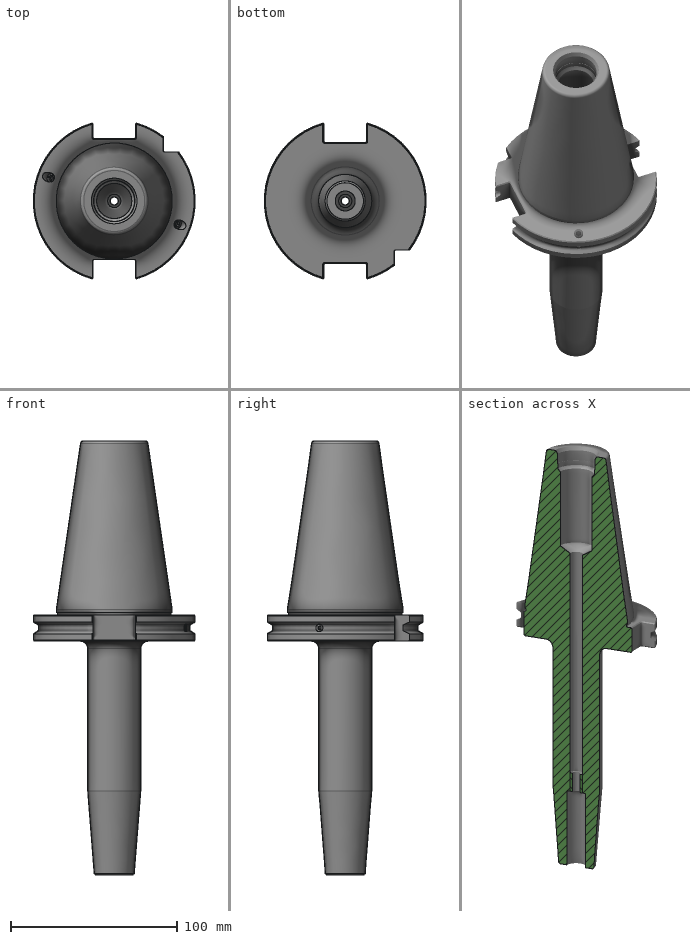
import cadquery as cq
import math

gauge_dia = 69.85
taper_length = 101.6
taper_ratio = 7 / 24
taper_tip_fillet = 2.0
gauge_land = 1.9
neck_dia = 68.5

flange_dia = 97.5
flange_top = -3.2
flange_bottom = -19.1
flange_top_chamfer = 0.6
flange_bottom_chamfer = 0.7
groove_floor_dia = 91.2
groove_centre = -11.1
groove_floor_width = 3.4
groove_half_angle = 30
groove_corner_fillet = 1.0
groove_overrun = 1.0

shank_dia = 32.0
shank_fillet = 4.5
nose_length = 160.0
nose_dia = 24.0
nose_half_angle = 4.5
nose_chamfer = 1.0

slot_width = 25.7
front_slot_floor = 35.3
back_slot_floor = 37.7
slot_corner_fillet = 0.8
slot_edge_chamfer = 0.6
notch_offset = 29.6
notch_fillet = 0.8

mouth_dia = 27.5
mouth_chamfer = 1.3
mouth_half_angle = 30
pilot_depth = 8.5
thread_entry_dia = 24.6
thread_entry_depth = 11.5
thread_bore_dia = 21.2
thread_bore_depth = 60.0
drill_tip_half_angle = 60
passage_dia = 8.0
tool_bore_dia = 12.0
tool_bore_depth = 47.0

stop_screw_length = 12.0
stop_screw_hole_dia = 4.7

plug_angle = 160
plug_count = 2
flange_plug_dia = 5.5
flange_plug_tilt = 40
flange_plug_radius = 42.2
flange_plug_recess = 2.4
flange_plug_length = 4.0
flange_plug_hex = 3.0
flange_plug_hex_depth = 2.0
groove_plug_dia = 4.5
groove_plug_length = 4.0
groove_plug_hex = 2.0
groove_plug_hex_depth = 2.0

gauge_r = gauge_dia / 2
neck_r = neck_dia / 2
tip_r = gauge_r - taper_length * taper_ratio / 2
flange_r = flange_dia / 2
flange_height = flange_top - flange_bottom
groove_floor_r = groove_floor_dia / 2
groove_half_floor = groove_floor_width / 2
groove_depth = flange_r - groove_floor_r
groove_half_mouth = groove_half_floor + groove_depth * math.tan(math.radians(groove_half_angle))
shank_r = shank_dia / 2
nose_r = nose_dia / 2
nose_cone_length = (shank_r - nose_r) / math.tan(math.radians(nose_half_angle))


def polar_plane(angle, radius, z, tilt):
    """Plane whose normal leans outward from +Z by `tilt` at the given polar angle."""
    a = math.radians(angle)
    t = math.radians(tilt)
    return cq.Plane(
        origin=(radius * math.cos(a), radius * math.sin(a), z),
        xDir=(math.cos(t) * math.cos(a), math.cos(t) * math.sin(a), -math.sin(t)),
        normal=(math.sin(t) * math.cos(a), math.sin(t) * math.sin(a), math.cos(t)),
    )


def is_slot_mouth(edge):
    """True for the upright edges where the slot walls meet the flange rim."""
    centre = edge.Center()
    return abs(centre.x) < slot_width and abs(centre.y) > back_slot_floor + slot_corner_fillet


def make_slot(floor, side):
    """Open slot through the flange on the +Y (side = 1) or -Y (side = -1) face."""
    return (
        cq.Workplane("XY").workplane(offset=flange_bottom)
        .center(0, side * (floor + flange_r / 2)).rect(slot_width, flange_r).extrude(flange_height)
        .edges("|Z").fillet(slot_corner_fillet)
    )


def make_notch():
    return (
        cq.Workplane("XY").workplane(offset=flange_bottom)
        .center(notch_offset, notch_offset).rect(flange_r, flange_r, centered=False)
        .extrude(flange_height).edges("|Z").fillet(notch_fillet)
    )


def make_flange():
    body = cq.Workplane("XY").workplane(offset=flange_bottom).circle(flange_r).extrude(flange_height)
    body = body.cut(make_slot(back_slot_floor, 1)).faces(">Z").chamfer(flange_top_chamfer)
    body = body.cut(make_slot(front_slot_floor, -1)).faces("<Z").chamfer(flange_bottom_chamfer)
    body = body.edges("|Z").filter(is_slot_mouth).chamfer(slot_edge_chamfer)
    body = body.cut(make_notch())
    groove = (
        cq.Workplane("XZ")
        .moveTo(groove_floor_r, groove_centre - groove_half_floor)
        .lineTo(flange_r, groove_centre - groove_half_mouth)
        .lineTo(flange_r + groove_overrun, groove_centre - groove_half_mouth)
        .lineTo(flange_r + groove_overrun, groove_centre + groove_half_mouth)
        .lineTo(flange_r, groove_centre + groove_half_mouth)
        .lineTo(groove_floor_r, groove_centre + groove_half_floor)
        .close().revolve(360, (0, 0, 0), (0, 1, 0))
        .edges(cq.selectors.RadiusNthSelector(0)).fillet(groove_corner_fillet)
    )
    return body.cut(groove)


def make_taper():
    taper = (
        cq.Workplane("XZ").moveTo(0, flange_top).lineTo(neck_r, flange_top)
        .lineTo(neck_r, -gauge_land).lineTo(gauge_r, -gauge_land).lineTo(gauge_r, 0)
        .lineTo(tip_r, taper_length).lineTo(0, taper_length)
        .close().revolve(360, (0, 0, 0), (0, 1, 0))
    )
    return taper.faces(">Z").edges().fillet(taper_tip_fillet)


def make_shank():
    cone_top = -nose_length + nose_cone_length
    shank = (
        cq.Workplane("XZ").moveTo(0, flange_bottom)
        .lineTo(shank_r + shank_fillet, flange_bottom)
        .radiusArc((shank_r, flange_bottom - shank_fillet), -shank_fillet)
        .lineTo(shank_r, cone_top).lineTo(nose_r, -nose_length).lineTo(0, -nose_length)
        .close().revolve(360, (0, 0, 0), (0, 1, 0))
    )
    return shank.faces("<Z").edges().chamfer(nose_chamfer)


def make_bore():
    top = taper_length
    mouth_r = mouth_dia / 2
    mouth_depth = mouth_chamfer / math.tan(math.radians(mouth_half_angle))
    pilot_r = mouth_r - mouth_chamfer
    entry_r = thread_entry_dia / 2
    thread_r = thread_bore_dia / 2
    passage_r = passage_dia / 2
    tool_r = tool_bore_dia / 2
    cone_depth = (thread_r - passage_r) / math.tan(math.radians(drill_tip_half_angle))
    tool_top = -nose_length + tool_bore_depth
    return (
        cq.Workplane("XZ").moveTo(0, top).lineTo(mouth_r, top)
        .lineTo(pilot_r, top - mouth_depth)
        .lineTo(pilot_r, top - pilot_depth)
        .lineTo(entry_r, top - pilot_depth)
        .lineTo(entry_r, top - thread_entry_depth)
        .lineTo(thread_r, top - thread_entry_depth - (entry_r - thread_r))
        .lineTo(thread_r, top - thread_bore_depth)
        .lineTo(passage_r, top - thread_bore_depth - cone_depth)
        .lineTo(passage_r, tool_top).lineTo(tool_r, tool_top)
        .lineTo(tool_r, -nose_length).lineTo(0, -nose_length)
        .close().revolve(360, (0, 0, 0), (0, 1, 0))
    )


def flange_plug_plane(angle):
    return cq.Workplane(polar_plane(angle, flange_plug_radius, flange_top, flange_plug_tilt))


def groove_plug_plane(angle):
    return cq.Workplane(polar_plane(angle, groove_floor_r, groove_centre, 90))


def make_plug(seat, dia, length, hex_size, hex_depth):
    """Set screw below the seat workplane, with a hex socket in its outer end."""
    plug = seat.circle(dia / 2).extrude(-length)
    socket = seat.polygon(6, hex_size / math.cos(math.pi / 6)).extrude(-hex_depth)
    return plug.cut(socket)


def make_flange_plug(angle):
    seat = flange_plug_plane(angle).workplane(offset=-flange_plug_recess)
    return make_plug(seat, flange_plug_dia, flange_plug_length, flange_plug_hex, flange_plug_hex_depth)


def make_groove_plug(angle):
    seat = groove_plug_plane(angle)
    return make_plug(seat, groove_plug_dia, groove_plug_length, groove_plug_hex, groove_plug_hex_depth)


def make_housing(angles):
    body = make_flange().union(make_taper()).union(make_shank()).cut(make_bore())
    for angle in angles:
        flange_bore = (
            flange_plug_plane(angle).workplane(offset=flange_plug_dia)
            .circle(flange_plug_dia / 2)
            .extrude(-flange_plug_dia - flange_plug_recess - flange_plug_length)
        )
        groove_bore = (
            groove_plug_plane(angle).workplane(offset=groove_depth)
            .circle(groove_plug_dia / 2)
            .extrude(-groove_plug_length - groove_depth)
        )
        body = body.cut(flange_bore).cut(groove_bore)
    return body


def make_stop_screw():
    return (
        cq.Workplane("XY").workplane(offset=-nose_length + tool_bore_depth)
        .circle(passage_dia / 2).circle(stop_screw_hole_dia / 2).extrude(stop_screw_length)
    )


plug_angles = [plug_angle + i * 360 / plug_count for i in range(plug_count)]
housing = make_housing(plug_angles)
flange_plugs = [make_flange_plug(a) for a in plug_angles]
groove_plugs = [make_groove_plug(a) for a in plug_angles]
stop_screw = make_stop_screw()

result = cq.Compound.makeCompound(
    [housing.val(), stop_screw.val()] + [p.val() for p in flange_plugs + groove_plugs])